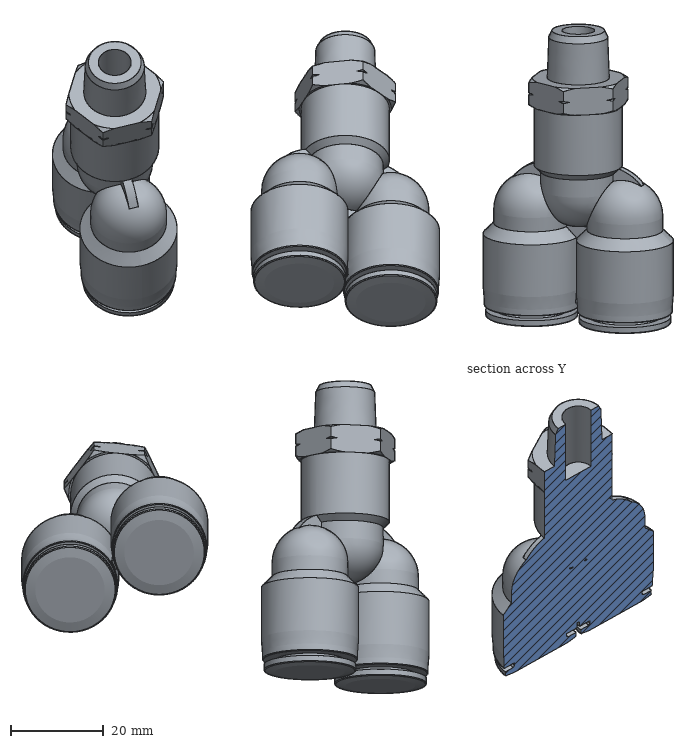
import cadquery as cq
import math

TOTAL_HEIGHT = 64.5
PORT_OFFSET = 10.5

THREAD_TIP_RADIUS = 5.7
THREAD_TOP_RADIUS = 6.4
THREAD_BASE_RADIUS = 6.7
THREAD_CHAMFER_HEIGHT = 1.4
BORE_DIAMETER = 7.0

HEX_FLATS = 19.0
HEX_CORNERS = HEX_FLATS / math.cos(math.pi / 6)
HEX_TOP = 54.05
HEX_BOTTOM = 48.05
HEX_CHAMFER_RADIUS = 9.95
HEX_CHAMFER_HEIGHT = 0.6
HEX_GROOVE_RADIUS = 10.4
HEX_GROOVE_HALF_WIDTH = 0.25

BODY_RADIUS = HEX_FLATS / 2
BODY_BOTTOM = 34.65
NECK_RADIUS = 8.2
NECK_TOP = BODY_BOTTOM - (BODY_RADIUS - NECK_RADIUS)
NECK_SPHERE_Z = 29.35

DOME_RADIUS = NECK_RADIUS
DOME_CENTER_Z = 24.05
SHOULDER_TOP = 21.0
SHOULDER_BOTTOM = 18.7
PORT_RADIUS = 42.0 / 2 - PORT_OFFSET
TAPER_TOP = 7.1
TAPER_BOTTOM = 4.2
PORT_END_RADIUS = 10.25
PORT_END_Z = 2.8
PORT_END_CHAMFER = 0.2

COLLAR_NECK_RADIUS = 7.3
COLLAR_FLARE_Z = 2.1
COLLAR_FLARE_RADIUS = 7.7
COLLAR_TOP = 1.75
COLLAR_RADIUS = 19.8 / 2
COLLAR_EDGE_Z = 0.6
COLLAR_BEVEL_RADIUS = 9.7
COLLAR_BEVEL_Z = 0.4
COLLAR_FACE_RADIUS = 7.5

RIB_THICKNESS = 2.05
RIB_END_X = 14.6
RIB_BULGE = 0.45
WEB_TOP = 21.3
WEB_BOTTOM = TAPER_BOTTOM


def make_stem():
    """Thread, body and round-ended neck, turned about Z."""
    return (
        cq.Workplane("XZ")
        .moveTo(0, TOTAL_HEIGHT)
        .lineTo(THREAD_TIP_RADIUS, TOTAL_HEIGHT)
        .lineTo(THREAD_TOP_RADIUS, TOTAL_HEIGHT - THREAD_CHAMFER_HEIGHT)
        .lineTo(THREAD_BASE_RADIUS, HEX_TOP)
        .lineTo(THREAD_BASE_RADIUS, HEX_BOTTOM)
        .lineTo(BODY_RADIUS, HEX_BOTTOM)
        .lineTo(BODY_RADIUS, BODY_BOTTOM)
        .lineTo(NECK_RADIUS, NECK_TOP)
        .lineTo(NECK_RADIUS, NECK_SPHERE_Z)
        .radiusArc((0, NECK_SPHERE_Z - NECK_RADIUS), NECK_RADIUS)
        .close()
        .revolve(360, (0, 0, 0), (0, 1, 0))
    )


def make_hexagon():
    """Hexagon with flats facing X, beveled corners and a V groove at mid height."""
    hexagon = (
        cq.Workplane("XY")
        .workplane(offset=HEX_BOTTOM)
        .polygon(6, HEX_CORNERS)
        .extrude(HEX_TOP - HEX_BOTTOM)
        .rotate((0, 0, 0), (0, 0, 1), 30)
    )
    middle = (HEX_TOP + HEX_BOTTOM) / 2
    corner_radius = HEX_CORNERS / 2
    envelope = (
        cq.Workplane("XZ")
        .moveTo(0, HEX_BOTTOM)
        .lineTo(HEX_CHAMFER_RADIUS, HEX_BOTTOM)
        .lineTo(corner_radius, HEX_BOTTOM + HEX_CHAMFER_HEIGHT)
        .lineTo(corner_radius, middle - HEX_GROOVE_HALF_WIDTH)
        .lineTo(HEX_GROOVE_RADIUS, middle)
        .lineTo(corner_radius, middle + HEX_GROOVE_HALF_WIDTH)
        .lineTo(corner_radius, HEX_TOP - HEX_CHAMFER_HEIGHT)
        .lineTo(HEX_CHAMFER_RADIUS, HEX_TOP)
        .lineTo(0, HEX_TOP)
        .close()
        .revolve(360, (0, 0, 0), (0, 1, 0))
    )
    return hexagon.intersect(envelope)


def make_port(x):
    """Domed tube port with its release collar, turned about a vertical axis at x."""
    return (
        cq.Workplane("XZ", origin=(x, 0, 0))
        .lineTo(COLLAR_FACE_RADIUS, 0)
        .lineTo(COLLAR_BEVEL_RADIUS, COLLAR_BEVEL_Z)
        .lineTo(COLLAR_RADIUS, COLLAR_EDGE_Z)
        .lineTo(COLLAR_RADIUS, COLLAR_TOP)
        .lineTo(COLLAR_FLARE_RADIUS, COLLAR_TOP)
        .lineTo(COLLAR_NECK_RADIUS, COLLAR_FLARE_Z)
        .lineTo(COLLAR_NECK_RADIUS, PORT_END_Z)
        .lineTo(PORT_END_RADIUS - PORT_END_CHAMFER, PORT_END_Z)
        .lineTo(PORT_END_RADIUS, PORT_END_Z + PORT_END_CHAMFER)
        .lineTo(PORT_END_RADIUS, TAPER_BOTTOM)
        .lineTo(PORT_RADIUS, TAPER_TOP)
        .lineTo(PORT_RADIUS, SHOULDER_BOTTOM)
        .lineTo(DOME_RADIUS, SHOULDER_TOP)
        .lineTo(DOME_RADIUS, DOME_CENTER_Z)
        .radiusArc((0, DOME_CENTER_Z + DOME_RADIUS), -DOME_RADIUS)
        .close()
        .revolve(360, (0, 0, 0), (0, 1, 0))
    )


def make_ribs():
    """Arched ribs running from the body edge down onto both domes."""
    end_z = DOME_CENTER_Z + math.sqrt(DOME_RADIUS**2 - (RIB_END_X - PORT_OFFSET) ** 2)
    right_rib = (
        cq.Workplane("XZ")
        .moveTo(0, BODY_BOTTOM)
        .lineTo(BODY_RADIUS, BODY_BOTTOM)
        .sagittaArc((RIB_END_X, end_z), RIB_BULGE)
        .lineTo(PORT_OFFSET, DOME_CENTER_Z)
        .lineTo(0, DOME_CENTER_Z)
        .close()
        .extrude(RIB_THICKNESS / 2, both=True)
    )
    return right_rib.union(right_rib.mirror("YZ"))


def make_web():
    """Flat web filling the gap between the two ports."""
    return (
        cq.Workplane("XY")
        .workplane(offset=WEB_BOTTOM)
        .rect(2 * PORT_OFFSET, RIB_THICKNESS)
        .extrude(WEB_TOP - WEB_BOTTOM)
    )


def make_bore():
    """Blind bore from the thread tip down to the underside of the hexagon."""
    return (
        cq.Workplane("XY")
        .workplane(offset=HEX_BOTTOM)
        .circle(BORE_DIAMETER / 2)
        .extrude(TOTAL_HEIGHT - HEX_BOTTOM)
    )


result = make_stem().union(make_hexagon())
for port_x in (-PORT_OFFSET, PORT_OFFSET):
    result = result.union(make_port(port_x))
result = result.union(make_ribs()).union(make_web()).cut(make_bore())